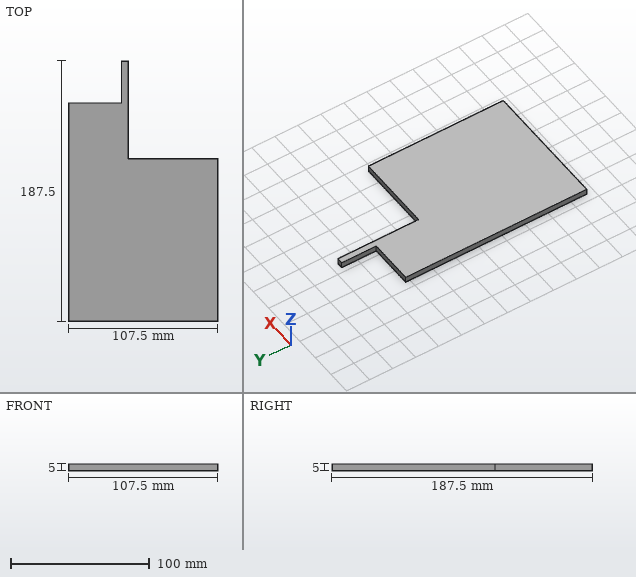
import cadquery as cq

width = 107.5
length = 187.5
thickness = 5.0

tongue_width = thickness
tongue_left = 37.9

left_shoulder_drop = 30.0
right_shoulder_drop = 70.1

tongue_right = tongue_left + tongue_width
left_shoulder = length - left_shoulder_drop
right_shoulder = length - right_shoulder_drop

outline = [
    (0, 0),
    (width, 0),
    (width, right_shoulder),
    (tongue_right, right_shoulder),
    (tongue_right, length),
    (tongue_left, length),
    (tongue_left, left_shoulder),
    (0, left_shoulder),
]

result = cq.Workplane("XY").polyline(outline).close().extrude(thickness)